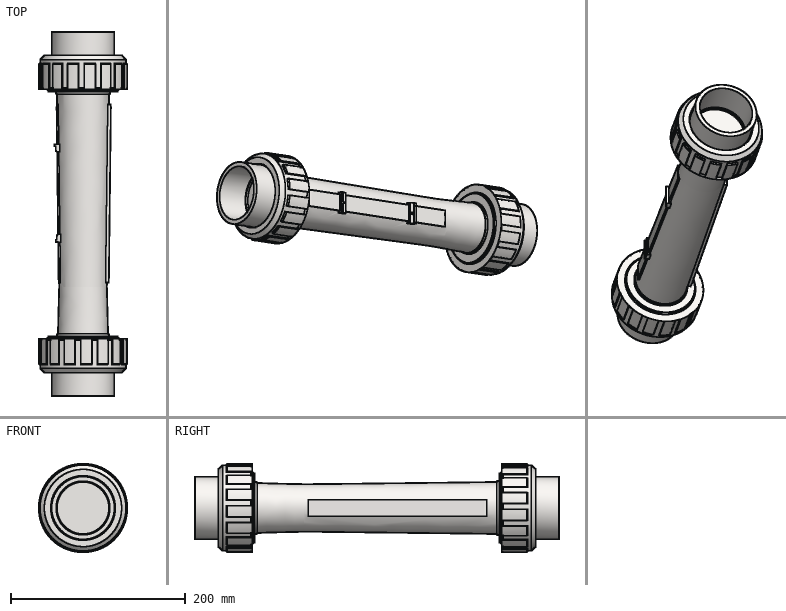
import cadquery as cq
import math

LENGTH = 416.26

SPIGOT_DIA = 71.73
SOCKET_DIA = 61.5
SOCKET_DEPTH = 38.0
SEAT_DIA = 59.4
SEAT_DEPTH = 3.0

NUT_DIA = 98.3
NUT_RIB_DIA = 101.35
NUT_NOSE_DIA = 88.4
NUT_BORE_DIA = 73.91
NUT_BORE_GAP_DEPTH = 3.0
NUT_START = 26.5
NUT_NOSE_LENGTH = 5.2
NUT_END = 65.8
NUT_RIM_LENGTH = 2.2
RIB_START = 35.6
RIB_BEVEL = 1.5
RIB_COUNT = 16
RIB_ANGLE = 14.7
RIB_PHASE_FAR = 9.2
RIB_PHASE_NEAR = 4.5

COLLAR_BASE_DIA = 82.93
COLLAR_DIA = 79.93
COLLAR_CHAMFER_LENGTH = 1.2
COLLAR_END = 68.6
NECK_END = 71.0
NECK_STEP = 0.8
NECK_FLARE = 0.6

TUBE_FAR_DIA = 60.0
TUBE_WAIST_DIA = 54.8
TUBE_NEAR_DIA = 57.6
WAIST_STATION = 291.5

PAD_START = 82.9
PAD_END = 286.5
PAD_WIDTH = 19.0
PAD_BEVEL = 3.1
PAD_BEVEL_DROP = 0.4
LEFT_PAD_RISE = 0.5
RIGHT_PAD_RISE = 2.2

INDICATOR_HEIGHT = 23.7
INDICATOR_LENGTH = 8.8
INDICATOR_RISE = 2.0
LIP_RISE = 3.4
LIP_LENGTH = 2.7
TAIL_CHAMFER = 1.2
POINTER_WIDTH = 2.8
POINTER_LENGTH = 5.0
POINTER_DEPTH = 0.8
INDICATOR_STATIONS = (128.3, 240.2)


def at(station):
    """Y coordinate of a distance from the +Y end face."""
    return LENGTH / 2 - station


def tube_radius(station):
    """Radius of the long taper between the +Y neck and the waist."""
    share = (station - NECK_END) / (WAIST_STATION - NECK_END)
    return (TUBE_FAR_DIA + share * (TUBE_WAIST_DIA - TUBE_FAR_DIA)) / 2


def revolve(points):
    """Turn a (radius, y) outline around the Y axis."""
    return cq.Workplane("XY").polyline(points).close().revolve(360, (0, 0, 0), (0, 1, 0))


def make_tube():
    return revolve([
        (0, at(NECK_END)),
        (TUBE_FAR_DIA / 2, at(NECK_END)),
        (TUBE_WAIST_DIA / 2, at(WAIST_STATION)),
        (TUBE_NEAR_DIA / 2, at(LENGTH - NECK_END)),
        (0, at(LENGTH - NECK_END)),
    ])


def make_ribs(phase):
    """Grip ribs of the +Y nut: slices of a bevelled ring."""
    inner = COLLAR_BASE_DIA / 2
    outer = NUT_RIB_DIA / 2
    ring = revolve([
        (inner, at(RIB_START)),
        (NUT_DIA / 2, at(RIB_START)),
        (outer, at(RIB_START + RIB_BEVEL)),
        (outer, at(NUT_END)),
        (inner, at(NUT_END)),
    ])
    reach = NUT_RIB_DIA
    half_width = reach * math.tan(math.radians(RIB_ANGLE / 2))
    wedge = (
        cq.Workplane("XZ", origin=(0, at(RIB_START), 0))
        .polyline([(0, 0), (-reach, half_width), (-reach, -half_width)])
        .close()
        .extrude(NUT_END - RIB_START)
    )
    wedges = cq.Workplane("XY")
    for index in range(RIB_COUNT):
        angle = phase + index * 360 / RIB_COUNT
        wedges = wedges.add(wedge.rotate((0, 0, 0), (0, 1, 0), angle))
    return ring.intersect(wedges.combine())


def make_union(rib_phase, tube_end_radius):
    """Socket end, union nut and collar at the +Y end."""
    nut_radius = NUT_DIA / 2
    neck_radius = tube_end_radius + NECK_STEP
    body = revolve([
        (0, at(0)),
        (SPIGOT_DIA / 2, at(0)),
        (SPIGOT_DIA / 2, at(NUT_START + NUT_BORE_GAP_DEPTH)),
        (NUT_BORE_DIA / 2, at(NUT_START + NUT_BORE_GAP_DEPTH)),
        (NUT_BORE_DIA / 2, at(NUT_START)),
        (NUT_NOSE_DIA / 2, at(NUT_START)),
        (nut_radius, at(NUT_START + NUT_NOSE_LENGTH)),
        (nut_radius, at(NUT_END - NUT_RIM_LENGTH)),
        (NUT_RIB_DIA / 2, at(NUT_END)),
        (COLLAR_BASE_DIA / 2, at(NUT_END)),
        (COLLAR_DIA / 2, at(NUT_END + COLLAR_CHAMFER_LENGTH)),
        (COLLAR_DIA / 2, at(COLLAR_END)),
        (neck_radius + NECK_FLARE, at(COLLAR_END)),
        (neck_radius, at(NECK_END)),
        (0, at(NECK_END)),
    ])
    floor = SOCKET_DEPTH + SEAT_DEPTH
    bore = revolve([
        (0, at(0)),
        (SOCKET_DIA / 2, at(0)),
        (SOCKET_DIA / 2, at(SOCKET_DEPTH)),
        (SEAT_DIA / 2, at(SOCKET_DEPTH)),
        (SEAT_DIA / 2, at(floor)),
        (0, at(floor)),
    ])
    return body.union(make_ribs(rib_phase)).cut(bore)


def make_pad(side, rise):
    """Flat-faced strip following the taper; side is -1 for -X, +1 for +X."""
    bevel_end = PAD_START + PAD_BEVEL
    outline = [
        (0, at(PAD_START)),
        (side * (tube_radius(PAD_START) + rise - PAD_BEVEL_DROP), at(PAD_START)),
        (side * (tube_radius(bevel_end) + rise), at(bevel_end)),
        (side * (tube_radius(PAD_END) + rise), at(PAD_END)),
        (0, at(PAD_END)),
    ]
    return cq.Workplane("XY").polyline(outline).close().extrude(PAD_WIDTH / 2, both=True)


def make_indicator(lip_station, direction):
    """Clip with a raised lip; direction is the way its body runs along the stations."""
    base = tube_radius(lip_station)
    face = base + INDICATOR_RISE
    lip_end = lip_station + direction * LIP_LENGTH
    tail = lip_station + direction * INDICATOR_LENGTH
    chamfer_start = tail - direction * TAIL_CHAMFER
    outline = [
        (0, at(lip_station)),
        (-base - LIP_RISE, at(lip_station)),
        (-base - LIP_RISE, at(lip_end)),
        (-face, at(lip_end)),
        (-face, at(chamfer_start)),
        (-face + TAIL_CHAMFER, at(tail)),
        (0, at(tail)),
    ]
    clip = cq.Workplane("XY").polyline(outline).close().extrude(INDICATOR_HEIGHT / 2, both=True)
    pointer_tip = lip_end + direction * POINTER_LENGTH
    pointer = (
        cq.Workplane("YZ", origin=(-face, 0, 0))
        .polyline([
            (at(lip_end), POINTER_WIDTH / 2),
            (at(lip_end), -POINTER_WIDTH / 2),
            (at(pointer_tip), 0),
        ])
        .close()
        .extrude(POINTER_DEPTH)
    )
    return clip.cut(pointer)


far_union = make_union(RIB_PHASE_FAR, TUBE_FAR_DIA / 2)
near_union = make_union(RIB_PHASE_NEAR, TUBE_NEAR_DIA / 2).mirror("XZ")

result = make_tube().union(far_union).union(near_union)
result = result.union(make_pad(-1, LEFT_PAD_RISE)).union(make_pad(1, RIGHT_PAD_RISE))
for station, direction in zip(INDICATOR_STATIONS, (1, -1)):
    result = result.union(make_indicator(station, direction))